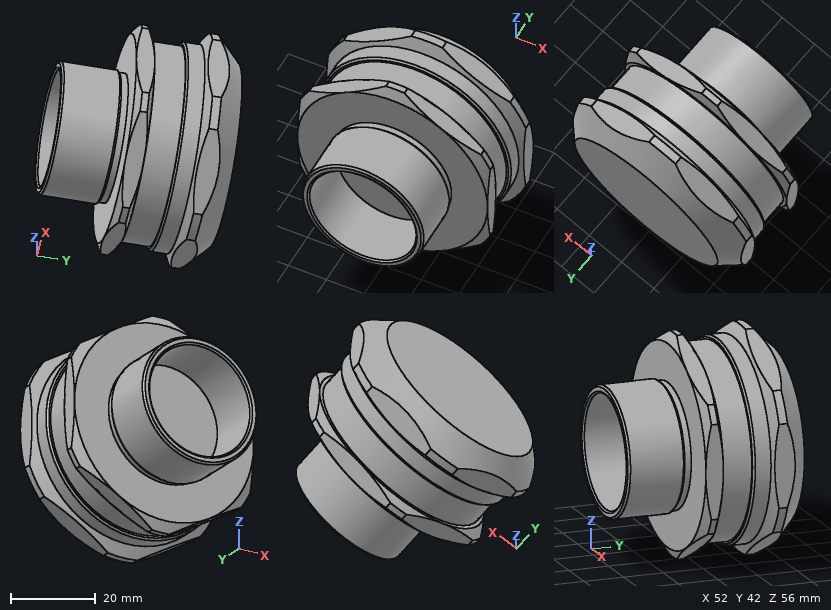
import cadquery as cq

TOTAL_LENGTH = 42.0

CAP_ACROSS_FLATS = 52.0
CAP_CORNER_DIAMETER = 55.95
CAP_BACK_DIAMETER = 44.3
CAP_CONE_END = 5.8
CAP_LAND_END = 7.95
CAP_END = 9.55

COLLAR_DIAMETER = 50.0
COLLAR_END = 14.05
COLLAR_CHAMFER = 0.5
BODY_DIAMETER = 48.0

NUT_ACROSS_FLATS = COLLAR_DIAMETER
NUT_CORNER_DIAMETER = 55.15
NUT_START = 21.6
NUT_LAND_START = 22.95
NUT_LAND_END = 24.6
NUT_END = 26.0

SPIGOT_DIAMETER = 32.0
GROOVE_DIAMETER = 31.0
GROOVE_END = 27.65
SPIGOT_CHAMFER = (SPIGOT_DIAMETER - GROOVE_DIAMETER) / 2
BORE_DIAMETER = 28.0
BORE_CHAMFER = 0.45
BORE_DEPTH = 14.65


def revolved(stations):
    """Solid of revolution from (distance from back, diameter) pairs."""
    outline = [(diameter / 2, -distance) for distance, diameter in stations]
    axis_start = (0, -stations[0][0])
    axis_end = (0, -stations[-1][0])
    profile = cq.Workplane("XY").polyline([axis_start] + outline + [axis_end]).close()
    return profile.revolve(360, (0, 0), (0, 1))


def hexagon(across_flats, start, end):
    """Hexagonal prism along Y with two flats facing +X and -X."""
    return (
        cq.Workplane("XZ", origin=(0, -start, 0))
        .polygon(6, across_flats, circumscribed=True)
        .extrude(end - start)
    )


def make_cap():
    turned = revolved([
        (0, CAP_BACK_DIAMETER),
        (CAP_CONE_END, CAP_CORNER_DIAMETER),
        (CAP_LAND_END, CAP_CORNER_DIAMETER),
        (CAP_END, COLLAR_DIAMETER),
    ])
    return turned.intersect(hexagon(CAP_ACROSS_FLATS, 0, CAP_END))


def make_nut():
    turned = revolved([
        (NUT_START, NUT_ACROSS_FLATS),
        (NUT_LAND_START, NUT_CORNER_DIAMETER),
        (NUT_LAND_END, NUT_CORNER_DIAMETER),
        (NUT_END, NUT_ACROSS_FLATS),
    ])
    return turned.intersect(hexagon(NUT_ACROSS_FLATS, NUT_START, NUT_END))


def make_collar_and_body():
    return revolved([
        (CAP_END, COLLAR_DIAMETER),
        (COLLAR_END - COLLAR_CHAMFER, COLLAR_DIAMETER),
        (COLLAR_END, COLLAR_DIAMETER - 2 * COLLAR_CHAMFER),
        (COLLAR_END, BODY_DIAMETER),
        (NUT_START, BODY_DIAMETER),
    ])


def make_spigot():
    return revolved([
        (NUT_END, GROOVE_DIAMETER),
        (GROOVE_END, GROOVE_DIAMETER),
        (GROOVE_END + SPIGOT_CHAMFER, SPIGOT_DIAMETER),
        (TOTAL_LENGTH - SPIGOT_CHAMFER, SPIGOT_DIAMETER),
        (TOTAL_LENGTH, SPIGOT_DIAMETER - 2 * SPIGOT_CHAMFER),
    ])


def make_bore():
    return revolved([
        (TOTAL_LENGTH - BORE_DEPTH, BORE_DIAMETER),
        (TOTAL_LENGTH - BORE_CHAMFER, BORE_DIAMETER),
        (TOTAL_LENGTH, BORE_DIAMETER + 2 * BORE_CHAMFER),
    ])


result = (
    make_cap()
    .union(make_collar_and_body())
    .union(make_nut())
    .union(make_spigot())
    .cut(make_bore())
)